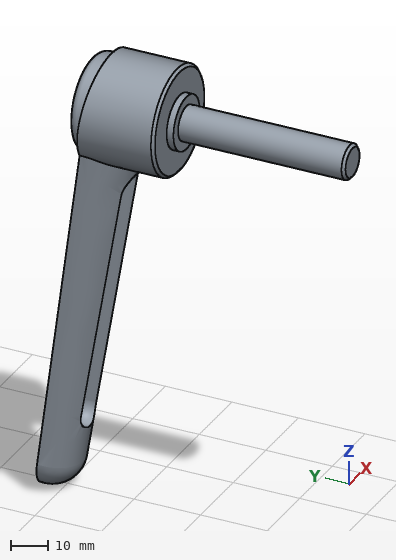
import cadquery as cq
import math

total_height = 136.0
total_depth = 91.5

hub_radius = 32.0 / 2
hub_chamfer = 0.8
collar_radius = 8.0
collar_length = 2.0
stud_radius = 5.2
stud_reach = 52.0
stud_chamfer = 0.8

cap_radius = 14.1
cap_edge_y = 24.3
cap_fillet = 2.2
cap_dome_rise = 1.1

tilt = 8.0
arm_root_radius = 12.4
arm_tip_radius = 9.5

groove_radius = 4.8
groove_start = 23.4
groove_end = 95.6

tilt_angle = math.radians(tilt)
tip_z = hub_radius - total_height
tip_center_z = tip_z + arm_tip_radius
flat_end_z = tip_center_z - arm_tip_radius * math.cos(tilt_angle)
back_y = total_depth - stud_reach + flat_end_z * math.tan(tilt_angle)
arm_length = -tip_center_z / math.cos(tilt_angle)

arm_frame = cq.Plane(
    origin=(0, back_y, 0),
    xDir=(-1, 0, 0),
    normal=(0, -math.cos(tilt_angle), -math.sin(tilt_angle)),
)


def cylinder_along_y(radius, start_y, end_y):
    """Solid cylinder on the Y axis between two Y positions."""
    section = cq.Workplane("XZ", origin=(0, end_y, 0)).circle(radius)
    return section.extrude(end_y - start_y)


def front_half_space():
    """Large block filling the space in front of the tilted back plane."""
    block_size = 3 * total_height
    return cq.Workplane(arm_frame).rect(block_size, block_size).extrude(block_size)


def make_hub():
    """Hub cylinder with a chamfered front rim, cut off by the tilted plane."""
    cylinder = cylinder_along_y(hub_radius, 0, back_y + hub_radius)
    return cylinder.faces("<Y").chamfer(hub_chamfer).intersect(front_half_space())


def make_stud():
    """Collar and chamfered stud, rooted in the hub."""
    collar = cylinder_along_y(collar_radius, -collar_length, hub_chamfer)
    stud = cylinder_along_y(stud_radius, -stud_reach, hub_chamfer)
    return collar.union(stud.faces("<Y").chamfer(stud_chamfer))


def make_cap():
    """Round cap with a rounded rim and a shallow domed top."""
    rim_y = cap_edge_y + cap_fillet
    dome_edge = cap_radius - cap_fillet
    dome_radius = (dome_edge**2 + cap_dome_rise**2) / (2 * cap_dome_rise)
    dome_mid_x = dome_edge / 2
    dome_mid_y = rim_y + cap_dome_rise - dome_radius + math.sqrt(dome_radius**2 - dome_mid_x**2)
    cap_root_y = back_y / 2
    profile = (
        cq.Workplane("XY")
        .moveTo(0, cap_root_y)
        .lineTo(cap_radius, cap_root_y)
        .lineTo(cap_radius, cap_edge_y)
        .radiusArc((dome_edge, rim_y), -cap_fillet)
        .threePointArc((dome_mid_x, dome_mid_y), (0, rim_y + cap_dome_rise))
        .close()
    )
    return profile.revolve(360, (0, 0), (0, 1))


def make_arm():
    """Tapered round lever with a ball end, halved by the tilted plane."""
    cone = (
        cq.Workplane(arm_frame)
        .polyline([(0, 0), (arm_root_radius, 0), (arm_tip_radius, arm_length), (0, arm_length)])
        .close()
        .revolve(360, (0, 0), (0, 1))
    )
    ball = cq.Workplane(arm_frame).center(0, arm_length).sphere(arm_tip_radius)
    return cone.union(ball).intersect(front_half_space())


def rim_height(distance):
    """Height above the flat back where the cone is as wide as the groove."""
    arm_radius = arm_root_radius + (arm_tip_radius - arm_root_radius) * distance / arm_length
    return math.sqrt(arm_radius**2 - groove_radius**2)


def make_groove():
    """Round-ended cutter whose axis follows the crest of the tapered arm."""
    start = arm_frame.toWorldCoords((0, groove_start, rim_height(groove_start)))
    end = arm_frame.toWorldCoords((0, groove_end, rim_height(groove_end)))
    axis = end - start
    cutter = cq.Workplane(cq.Solid.makeCylinder(groove_radius, axis.Length, start, axis))
    for center in (start, end):
        cutter = cutter.union(cq.Workplane("XY", origin=center.toTuple()).sphere(groove_radius))
    return cutter


lever = make_arm().cut(make_groove())
result = make_hub().union(lever).union(make_cap()).union(make_stud())